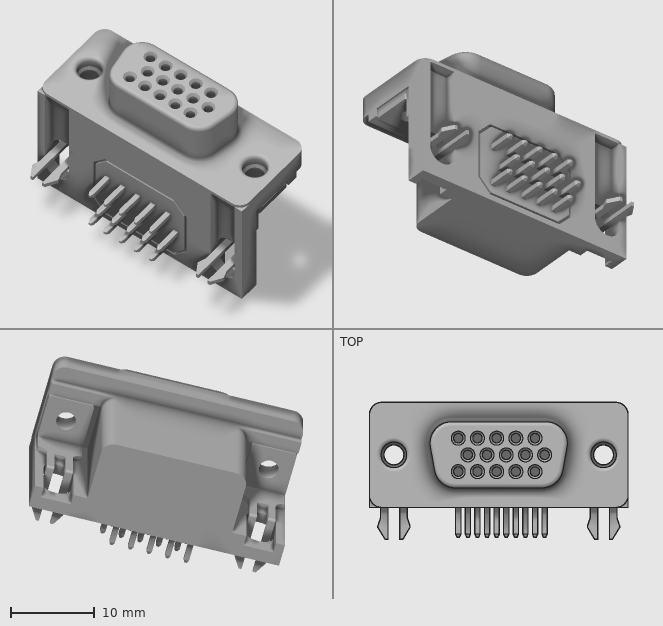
import cadquery as cq
import math


flange_width = 30.81
flange_depth = 12.56
flange_corner_radius = 1.5
shell_thickness = 0.38
flange_bottom_z = -2.93
housing_bottom_z = -16.45
front_y = -flange_depth / 2
front_plate_thickness = 2.81
front_plate_top_z = -0.44
plate_back_y = front_y + front_plate_thickness
body_width = 17.8
body_back_y = 4.28
body_corner_radius = 1.5
rim_inner_y = body_back_y - body_corner_radius
rim_bottom_z = -3.97

plug_height = 5.77
plug_depth = 7.88
plug_mid_width = 15.93
plug_side_angle = 10
plug_corner_radius = 2.55
plug_edge_radius = 0.5

contact_pitch = 2.285
contacts_per_row = 5
outer_row_shift = -0.25
middle_row_shift = outer_row_shift + contact_pitch / 2
row_shifts = (outer_row_shift, middle_row_shift, outer_row_shift)
socket_row_pitch = 1.99
socket_mouth_diameter = 1.66
socket_diameter = 1.12
socket_mouth_depth = 0.38
socket_depth = 4.0

pin_row_pitch = 2.54
pin_centre_z = -11.44
pin_size = 0.66
pin_tip_size = 0.3
pin_end_y = -9.82
pin_taper_length = 0.41

insert_recess_width = 14.06
insert_recess_height = 10.02
insert_recess_corner = 1.79
insert_gap_side = 0.37
insert_gap_end = 0.3
insert_corner = 1.6
insert_groove_depth = 0.5
insert_centre_z = -10.67

mount_spacing = 24.96
mount_hole_diameter = 3.05
mount_lip_radius = 0.5
mount_bore_bottom_z = -1.4
screw_hole_diameter = 2.35
screw_cone_depth = 0.26

slot_width = 3.68
slot_top_z = -9.17
slot_bottom_z = -14.29
channel_depth = 1.53

clip_half_width = 2.7
clip_flange_thickness = 0.55
clip_leg_thickness = 0.68
clip_leg_half_width = 1.6
clip_gap_half_width = 0.69
clip_shoulder_z = -6.9
clip_shoulder_radius = clip_half_width - clip_leg_half_width
clip_fork_top_z = clip_shoulder_z - clip_shoulder_radius
clip_back_y = rim_inner_y
clip_leg_back_y = plate_back_y + clip_leg_thickness
clip_bend_radius = 0.35
prong_thickness = 0.58
prong_bottom_z = pin_centre_z - prong_thickness / 2
prong_tip_y = -10.07
prong_tip_half_width = 1.06
barb_half_width = 1.93
barb_start_y = -7.5
barb_peak_y = -8.47
barb_flat_length = 0.15
nut_size = 5.56
nut_height = 0.78
nut_corner_radius = 0.3


def box(x_range, y_range, z_range):
    """Box between the given limits on each axis."""
    lengths = [high - low for low, high in (x_range, y_range, z_range)]
    lows = (x_range[0], y_range[0], z_range[0])
    return cq.Workplane("XY").box(*lengths, centered=False).translate(lows)


def centred_box(width, y_range, z_range):
    """Box that is symmetric about X = 0."""
    return box((-width / 2, width / 2), y_range, z_range)


def make_housing():
    flange = centred_box(flange_width, (front_y, -front_y), (flange_bottom_z, -shell_thickness))
    flange = flange.edges("|Z").fillet(flange_corner_radius)
    shell = centred_box(flange_width, (front_y, -front_y), (-shell_thickness, 0))
    shell = shell.edges("|Z").fillet(flange_corner_radius)
    plate = centred_box(flange_width, (front_y, plate_back_y), (housing_bottom_z, front_plate_top_z))
    rim = centred_box(flange_width, (rim_inner_y, body_back_y), (rim_bottom_z, flange_bottom_z))
    body = centred_box(body_width, (plate_back_y, body_back_y), (housing_bottom_z, flange_bottom_z))
    body = body.edges("|Z and >Y").fillet(body_corner_radius)
    return flange.union(shell).union(plate).union(rim).union(body)


def add_plug(part):
    """D-shaped plug shell, wider toward +Y, with a rounded rim and a flared foot."""
    half_depth = plug_depth / 2
    side_lean = half_depth * math.tan(math.radians(plug_side_angle))
    wide = plug_mid_width / 2 + side_lean
    narrow = plug_mid_width / 2 - side_lean
    outline = [(-wide, half_depth), (wide, half_depth), (narrow, -half_depth), (-narrow, -half_depth)]
    plug = cq.Workplane("XY").polyline(outline).close().extrude(plug_height)
    plug = plug.edges("|Z").fillet(plug_corner_radius)
    plug = plug.faces(">Z").edges().fillet(plug_edge_radius)
    margin = 0.1
    low_corner = (-wide, -half_depth - margin, -margin)
    high_corner = (wide, half_depth + margin, margin)
    foot = cq.selectors.BoxSelector(low_corner, high_corner)
    return part.union(plug).edges(foot).fillet(plug_edge_radius)


def contact_positions(row_pitch):
    """(x, offset) of every contact; offset runs across the three rows."""
    positions = []
    for row, shift in enumerate(row_shifts):
        for column in range(contacts_per_row):
            x = shift + (column - (contacts_per_row - 1) / 2) * contact_pitch
            positions.append((x, (1 - row) * row_pitch))
    return positions


def cut_sockets(part):
    mouth_radius = socket_mouth_diameter / 2
    radius = socket_diameter / 2
    profile = [
        (0, 0),
        (mouth_radius, 0),
        (radius, -socket_mouth_depth),
        (radius, -socket_depth),
        (0, -socket_depth),
    ]
    socket = cq.Workplane("XZ").polyline(profile).close().revolve(360, (0, 0), (0, 1))
    for x, y in contact_positions(socket_row_pitch):
        part = part.cut(socket.translate((x, y, plug_height)))
    return part


def octagon(width, height, corner, depth):
    """Rectangle with cut corners, sunk into the front face."""
    plane = cq.Workplane("XZ", origin=(0, front_y, insert_centre_z))
    return plane.rect(width, height).extrude(-depth).edges("|Y").chamfer(corner)


def cut_insert_groove(part):
    recess = octagon(insert_recess_width, insert_recess_height, insert_recess_corner, insert_groove_depth)
    insert = octagon(
        insert_recess_width - 2 * insert_gap_side,
        insert_recess_height - 2 * insert_gap_end,
        insert_corner,
        insert_groove_depth,
    )
    return part.cut(recess.cut(insert))


def add_pins(part):
    taper_start_y = pin_end_y + pin_taper_length
    pin = centred_box(pin_size, (taper_start_y, front_y), (-pin_size / 2, pin_size / 2))
    tip = (
        cq.Workplane("XZ", origin=(0, taper_start_y, 0))
        .rect(pin_size, pin_size)
        .workplane(offset=pin_taper_length)
        .rect(pin_tip_size, pin_tip_size)
        .loft(ruled=True)
    )
    pin = pin.union(tip)
    for x, z in contact_positions(pin_row_pitch):
        part = part.union(pin.translate((x, 0, pin_centre_z + z)))
    return part


def make_lock_opening():
    """Round-ended slot through the plate, with a front channel above it and a rear channel below."""
    slot_length = slot_top_z - slot_bottom_z
    slot_centre_z = (slot_top_z + slot_bottom_z) / 2
    slot = (
        cq.Workplane("XZ", origin=(0, front_y, slot_centre_z))
        .slot2D(slot_length, slot_width, 90)
        .extrude(-front_plate_thickness)
    )
    channel_back_y = front_y + channel_depth
    front_channel = centred_box(slot_width, (front_y, channel_back_y), (slot_centre_z, front_plate_top_z))
    rear_y = (channel_back_y, plate_back_y)
    rear_channel = centred_box(slot_width, rear_y, (housing_bottom_z, slot_centre_z))
    return slot.union(front_channel).union(rear_channel)


def make_clip():
    """Bent strip: plate under the flange, shouldered leg, and two barbed prongs."""
    clip_top_z = flange_bottom_z
    plate_z = (clip_top_z - clip_flange_thickness, clip_top_z)
    plate = centred_box(2 * clip_half_width, (plate_back_y, clip_back_y), plate_z)
    diagonal = clip_shoulder_radius * (1 - math.sqrt(0.5))
    leg = (
        cq.Workplane("XZ", origin=(0, plate_back_y, 0))
        .moveTo(0, clip_top_z)
        .lineTo(clip_half_width, clip_top_z)
        .lineTo(clip_half_width, clip_shoulder_z)
        .threePointArc(
            (clip_leg_half_width + diagonal, clip_shoulder_z - diagonal),
            (clip_leg_half_width, clip_fork_top_z),
        )
        .lineTo(clip_leg_half_width, prong_bottom_z)
        .lineTo(clip_gap_half_width, prong_bottom_z)
        .lineTo(clip_gap_half_width, clip_fork_top_z)
        .lineTo(0, clip_fork_top_z)
        .close()
        .extrude(-clip_leg_thickness)
    )
    prong_outline = [
        (clip_gap_half_width, clip_leg_back_y),
        (clip_leg_half_width, clip_leg_back_y),
        (clip_leg_half_width, barb_start_y),
        (barb_half_width, barb_peak_y),
        (barb_half_width, barb_peak_y - barb_flat_length),
        (prong_tip_half_width, prong_tip_y),
        (clip_gap_half_width, prong_tip_y),
    ]
    prong = (
        cq.Workplane("XY", origin=(0, 0, prong_bottom_z))
        .polyline(prong_outline)
        .close()
        .extrude(prong_thickness)
    )
    half = leg.union(prong).edges("|X and >Y and <Z").fillet(clip_bend_radius)
    return plate.union(half).union(half.mirror("YZ"))


def make_nut():
    nut_top_z = flange_bottom_z - clip_flange_thickness
    nut = cq.Workplane("XY", origin=(0, 0, nut_top_z)).rect(nut_size, nut_size).extrude(-nut_height)
    return nut.edges("|Z").fillet(nut_corner_radius)


def make_mount_hole():
    """Screw hole with a rounded lip, a clearance bore and a conical step."""
    bore_radius = mount_hole_diameter / 2
    screw_radius = screw_hole_diameter / 2
    lip_diagonal = mount_lip_radius * (1 - math.sqrt(0.5))
    hole_bottom_z = flange_bottom_z - clip_flange_thickness - nut_height
    return (
        cq.Workplane("XZ")
        .lineTo(bore_radius + mount_lip_radius, 0)
        .threePointArc((bore_radius + lip_diagonal, -lip_diagonal), (bore_radius, -mount_lip_radius))
        .lineTo(bore_radius, mount_bore_bottom_z)
        .lineTo(screw_radius, mount_bore_bottom_z - screw_cone_depth)
        .lineTo(screw_radius, hole_bottom_z)
        .lineTo(0, hole_bottom_z)
        .close()
        .revolve(360, (0, 0), (0, 1))
    )


def add_mounts(part):
    """Board lock, slot and screw hole at each end of the flange."""
    opening = make_lock_opening()
    lock = make_clip().union(make_nut())
    hole = make_mount_hole()
    for x in (-mount_spacing / 2, mount_spacing / 2):
        part = part.cut(opening.translate((x, 0, 0)))
        part = part.union(lock.translate((x, 0, 0)))
        part = part.cut(hole.translate((x, 0, 0)))
    return part


result = make_housing()
result = add_plug(result)
result = cut_sockets(result)
result = cut_insert_groove(result)
result = add_pins(result)
result = add_mounts(result)